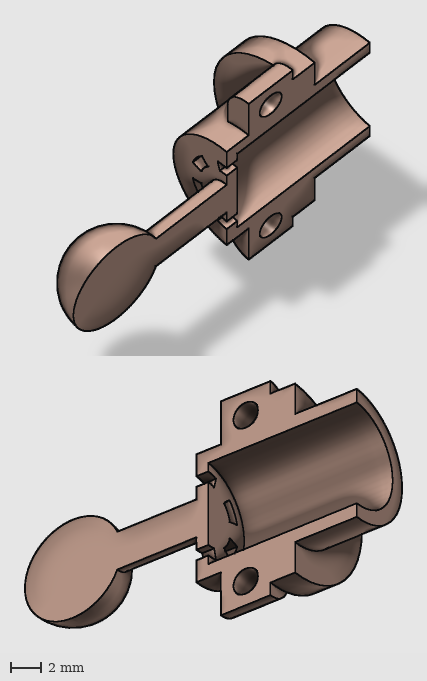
import cadquery as cq
import math

total_length = 26.9
body_radius = 5.08
bore_radius = 4.0
front_wall = 0.97

front_length = 6.0
flange_length = 2.0
rear_length = 5.0
body_length = front_length + flange_length + rear_length
flange_radius = 7.5

ear_thickness = 2.0
ear_length = 4.0
ear_tip = 8.5
ear_hole_diameter = 2.0
ear_hole_height = 6.6

rod_radius = 1.5
ball_radius = 3.9
ball_center = -(total_length - body_length - ball_radius)

slot_count = 6
slot_inner_radius = 2.5
slot_outer_radius = 3.34
slot_angle = 30.0


def disc(radius, start, length):
    """Cylinder on the Y axis, growing from Y = start toward +Y."""
    return cq.Workplane("XZ", origin=(0, start, 0)).circle(radius).extrude(-length)


def ear():
    """Mounting lug above the body, with a rounded outer corner and a hole along X."""
    root = (body_radius + bore_radius) / 2
    shoulder = ear_tip - ear_thickness
    diagonal = ear_thickness * math.sqrt(0.5)
    lug = (
        cq.Workplane("XZ", origin=(0, front_length - ear_length, 0))
        .moveTo(0, root)
        .lineTo(-ear_thickness, root)
        .lineTo(-ear_thickness, shoulder)
        .threePointArc((-diagonal, shoulder + diagonal), (0, ear_tip))
        .close()
        .extrude(-ear_length)
    )
    hole = (
        cq.Workplane("YZ")
        .center(front_length - ear_length / 2, ear_hole_height)
        .circle(ear_hole_diameter / 2)
        .extrude(-ear_thickness)
    )
    return lug.cut(hole)


def slot(middle_angle):
    """Ring-sector opening through the front wall."""

    def point(radius, offset):
        angle = math.radians(middle_angle + offset)
        return (radius * math.cos(angle), radius * math.sin(angle))

    half = slot_angle / 2
    return (
        cq.Workplane("XZ")
        .moveTo(*point(slot_inner_radius, -half))
        .lineTo(*point(slot_outer_radius, -half))
        .threePointArc(point(slot_outer_radius, 0), point(slot_outer_radius, half))
        .lineTo(*point(slot_inner_radius, half))
        .threePointArc(point(slot_inner_radius, 0), point(slot_inner_radius, -half))
        .close()
        .extrude(-front_wall)
    )


body = disc(body_radius, 0, body_length)
body = body.union(disc(flange_radius, front_length, flange_length))
body = body.union(disc(rod_radius, ball_center, front_wall - ball_center))
ball = cq.Workplane("XZ").sphere(ball_radius).translate((0, ball_center, 0))
body = body.union(ball)

upper_ear = ear()
body = body.union(upper_ear).union(upper_ear.mirror("XY"))

body = body.cut(disc(bore_radius, front_wall, body_length - front_wall))
for index in range(slot_count):
    body = body.cut(slot(90 + index * 360 / slot_count))

half_space = cq.Workplane("XY").box(2 * total_length, 4 * total_length, 2 * total_length)
result = body.intersect(half_space.translate((-total_length, 0, 0)))